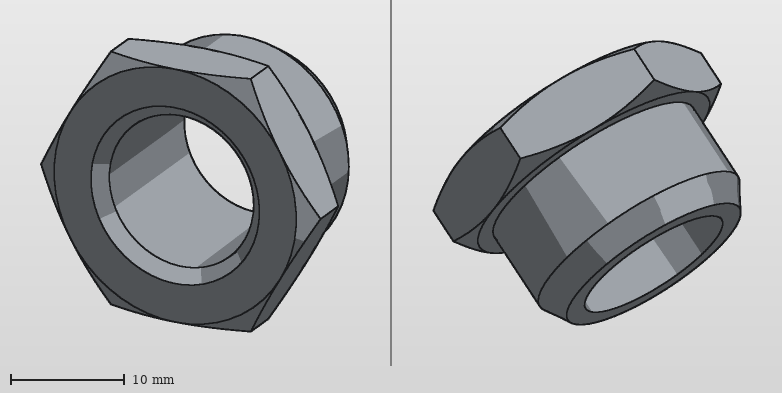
import cadquery as cq
import math

across_flats = 24.0
across_corners = across_flats / math.cos(math.radians(30))
head_thickness = 5.5
head_chamfer_angle = 30.0

total_length = 15.5
shank_diameter = 20.87
tip_length = 2.45
tip_taper_angle = 30.0

bore_diameter = 14.3
mouth_diameter = 16.7
mouth_depth = (mouth_diameter - bore_diameter) / 2

head_face_y = -head_thickness
tip_y = head_face_y + total_length


def revolve_about_y(profile):
    """Revolve a closed (radius, y) profile about the Y axis."""
    return cq.Workplane("XY").polyline(profile).close().revolve(360, (0, 0, 0), (0, 1, 0))


def make_head():
    """Hexagon with corners on the X axis, its corners chamfered on both faces."""
    hexagon = (
        cq.Workplane("XZ")
        .polygon(6, across_corners)
        .extrude(head_thickness)
    )
    flat_radius = across_flats / 2
    corner_radius = across_corners / 2
    chamfer_depth = (corner_radius - flat_radius) * math.tan(math.radians(head_chamfer_angle))
    envelope = revolve_about_y([
        (0, head_face_y),
        (flat_radius, head_face_y),
        (corner_radius, head_face_y + chamfer_depth),
        (corner_radius, -chamfer_depth),
        (flat_radius, 0),
        (0, 0),
    ])
    return hexagon.intersect(envelope)


def make_shank():
    """Cylinder from the head to the tip, tapered over its last stretch."""
    shank_radius = shank_diameter / 2
    tip_radius = shank_radius - tip_length * math.tan(math.radians(tip_taper_angle))
    return revolve_about_y([
        (0, head_face_y + mouth_depth),
        (shank_radius, head_face_y + mouth_depth),
        (shank_radius, tip_y - tip_length),
        (tip_radius, tip_y),
        (0, tip_y),
    ])


def make_bore():
    """Through bore including the countersink at the head face."""
    bore_radius = bore_diameter / 2
    return revolve_about_y([
        (0, head_face_y),
        (mouth_diameter / 2, head_face_y),
        (bore_radius, head_face_y + mouth_depth),
        (bore_radius, tip_y),
        (0, tip_y),
    ])


result = make_head().union(make_shank()).cut(make_bore())